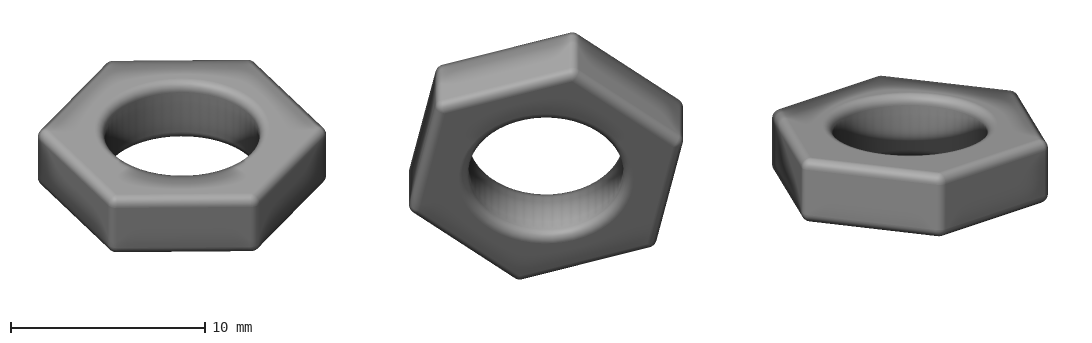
import cadquery as cq
import math

ACROSS_FLATS = 13.0
THICKNESS = 3.5
BORE_DIAMETER = 8.0
EDGE_RADIUS = 0.5

HEX_SIDES = 6
CORNER_ANGLE = 360.0 / HEX_SIDES
ACROSS_CORNERS = ACROSS_FLATS / math.cos(math.pi / HEX_SIDES)


def make_hex_plate():
    """Hexagonal plate standing on the XY plane, with two flats facing -X and +X.

    The upright corners and both rims share one edge radius.
    """
    return (
        cq.Workplane("XY")
        .transformed(rotate=(0, 0, CORNER_ANGLE / 2))
        .polygon(HEX_SIDES, ACROSS_CORNERS)
        .extrude(THICKNESS)
        .edges()
        .fillet(EDGE_RADIUS)
    )


def make_bore():
    """Round cutter through the full thickness, along the Z axis."""
    return cq.Workplane("XY").circle(BORE_DIAMETER / 2).extrude(THICKNESS)


def round_bore_mouths(body):
    """Round the bore's edge where it meets the top and bottom faces."""
    return body.faces("<Z or >Z").edges("%CIRCLE").fillet(EDGE_RADIUS)


result = round_bore_mouths(make_hex_plate().cut(make_bore()))